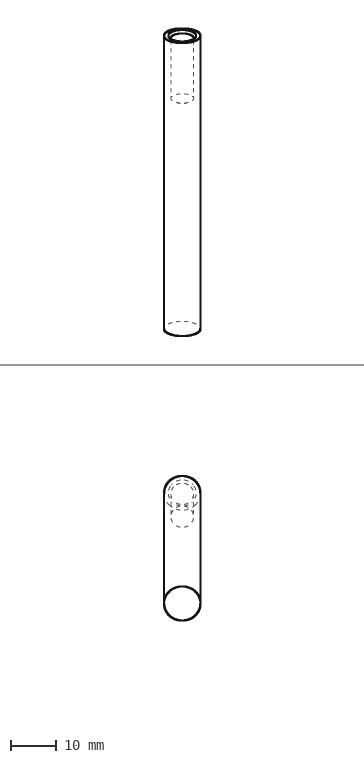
import cadquery as cq
import math

rod_length = 70.0
rod_diameter = 8.0
rod_radius = rod_diameter / 2

hole_diameter = 5.0
hole_radius = hole_diameter / 2
hole_depth = 15.0
drill_point_angle = 120.0
drill_point_depth = hole_radius / math.tan(math.radians(drill_point_angle / 2))

mouth_chamfer = 0.55
mouth_radius = hole_radius + mouth_chamfer

hole_floor = rod_length - hole_depth

half_section = (
    cq.Workplane("XZ")
    .moveTo(0, 0)
    .lineTo(rod_radius, 0)
    .lineTo(rod_radius, rod_length)
    .lineTo(mouth_radius, rod_length)
    .lineTo(hole_radius, rod_length - mouth_chamfer)
    .lineTo(hole_radius, hole_floor)
    .lineTo(0, hole_floor - drill_point_depth)
    .close()
)

result = half_section.revolve(360, (0, 0, 0), (0, 1, 0))